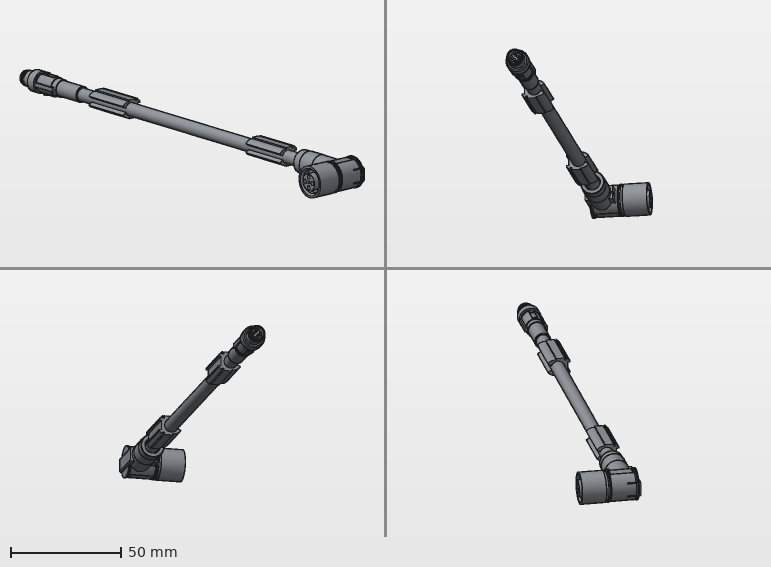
import cadquery as cq
import math


total_length = 224.95
total_depth = 28.0
socket_diameter = 14.77
OVERLAP = 0.5

cable_radius = 3.1

tip_length = 1.4
tip_radius = 3.3
tip_ring_length = 0.7
tip_ring_radius = 3.75
tip_groove_length = 0.6
thread_end = 6.5
thread_radius = 3.8
plug_nut_end = 11.3
plug_nut_radius = 5.15
plug_nut_chamfer = 0.6
plug_neck_end = 12.3
plug_neck_radius = 4.3
plug_body_end = 22.2
plug_body_radius = 4.45
plug_collar_end = 25.3
plug_collar_radius = 4.1
plug_grip_end = 39.0
plug_grip_radius = 3.75
plug_grip_chamfer = 0.4
plug_bore_radius = 2.7
plug_bore_depth = 4.0
pin_radius = 0.5
pin_circle_radius = 1.5
pin_count = 4
pin_recess = 0.4
rib_length = 11.8
rib_height = 5.15
rib_width = 2.0
pad_length = 8.8
pad_height = 4.65
pad_width = 2.4
bump_start = 13.6
bump_length = 2.0

sleeve_length = 23.2
sleeve_starts = (48.5, 155.3)
sleeve_half_height = 4.4
sleeve_front = 4.6
jaw_shoulder = 3.75
jaw_bulge = (-3.0, 3.4)
rail_front = 3.0
rail_back = 5.6
rail_groove_width = 0.8
rail_groove_depth = 1.0
rail_chamfer = 1.5
step_position = -0.7
mouth_outer = 2.1
mouth_inner = 0.7
label_slot_width = 4.4
label_slot_depth = 1.0

barrel_start = 188.6
barrel_nut_end = 192.8
barrel_nut_radius = 5.5
barrel_nut_chamfer = 0.3
barrel_radius = 5.55
barrel_collar_end = 201.0
barrel_collar_radius = 5.65
barrel_tail_bore = 3.6
barrel_tail_depth = 1.5
key_start = 204.2
key_height = 6.4
key_width = 6.2
key_slot_width = 0.7

socket_radius = socket_diameter / 2
lid_overhang = 0.45
head_x = total_length - lid_overhang - socket_radius
head_radius = 7.15
groove_radius = 6.7
lid_top = 6.4
lid_strip_width = 6.8
lid_strip_chamfer = 0.6
disk_top = 5.4
disk_bottom = 4.8
head_top = 4.1
head_bottom = -7.3
flange_top = -7.9
flange_bottom = -8.6
nut_top = -9.7
insert_end = lid_top - total_depth
insert_projection = 0.7
nut_bottom = insert_end + insert_projection
insert_radius = 4.0
window_width = 5.0
window_top = 3.5
window_bottom = -7.0
window_floor = 6.55

mouth_radius = 6.4
bore_radius = 5.5
bore_cone_depth = 1.0
bore_depth = 3.0
contact_radius = 0.95
contact_circle_radius = 2.5
contact_depth = 5.0
contact_count = 4
center_contact_radius = 0.6


def rod(start, end, radius):
    """Cylinder along X, centred on the cable axis."""
    return cq.Workplane("YZ").workplane(offset=start).circle(radius).extrude(end - start)


def post(bottom, top, radius):
    """Cylinder along Y, centred on the socket axis."""
    plane = cq.Plane(origin=(head_x, bottom, 0), xDir=(1, 0, 0), normal=(0, 1, 0))
    return cq.Workplane(plane).circle(radius).extrude(top - bottom)


def block(x_range, y_range, z_range):
    """Box given by its limits on each axis."""
    limits = (x_range, y_range, z_range)
    sizes = [high - low for low, high in limits]
    corner = tuple(low for low, high in limits)
    return cq.Workplane("XY").box(*sizes, centered=False).translate(corner)


def polar_points(count, radius):
    """Points evenly spaced on a circle, starting on its first axis."""
    angles = [2 * math.pi * index / count for index in range(count)]
    return [(radius * math.cos(angle), radius * math.sin(angle)) for angle in angles]


def make_plug():
    """Straight plug with threaded nose, nut, ribbed body and grip."""
    ring_end = tip_length + tip_ring_length
    groove_end = ring_end + tip_groove_length
    nut = rod(thread_end, plug_nut_end, plug_nut_radius).faces("<X").chamfer(plug_nut_chamfer)
    grip = rod(plug_collar_end, plug_grip_end, plug_grip_radius).faces(">X").chamfer(plug_grip_chamfer)
    plug = rod(0, groove_end, tip_radius)
    plug = plug.union(rod(tip_length, ring_end, tip_ring_radius))
    plug = plug.union(rod(groove_end, thread_end, thread_radius))
    plug = plug.union(nut)
    plug = plug.union(rod(plug_nut_end, plug_neck_end, plug_neck_radius))
    plug = plug.union(rod(plug_neck_end, plug_body_end, plug_body_radius))
    plug = plug.union(rod(plug_body_end, plug_collar_end, plug_collar_radius))
    plug = plug.union(grip)

    rib_span = (plug_neck_end, plug_neck_end + rib_length)
    pad_span = (plug_neck_end, plug_neck_end + pad_length)
    bump_span = (bump_start, bump_start + bump_length)
    rib_side = (-rib_width / 2, rib_width / 2)
    pad_side = (-pad_width / 2, pad_width / 2)
    plug = plug.union(block(rib_span, (-rib_height, rib_height), rib_side))
    plug = plug.union(block(pad_span, pad_side, (-pad_height, pad_height)))
    plug = plug.union(block(bump_span, pad_side, (-rib_height, rib_height)))

    plug = plug.cut(rod(0, plug_bore_depth, plug_bore_radius))
    pins = (
        cq.Workplane("YZ")
        .workplane(offset=pin_recess)
        .pushPoints(polar_points(pin_count, pin_circle_radius))
        .circle(pin_radius)
        .extrude(plug_bore_depth + OVERLAP - pin_recess)
    )
    return plug.union(pins)


def make_sleeve(start):
    """Marker sleeve that clips around the cable, with label rails on its +Y back."""
    span = (start, start + sleeve_length)
    bulge_y, bulge_z = jaw_bulge
    clip = (
        cq.Workplane("YZ")
        .workplane(offset=start)
        .moveTo(rail_front, sleeve_half_height)
        .lineTo(step_position, sleeve_half_height)
        .lineTo(step_position, jaw_shoulder)
        .threePointArc((bulge_y, bulge_z), (-sleeve_front, mouth_outer))
        .lineTo(-sleeve_front, -mouth_outer)
        .threePointArc((bulge_y, -bulge_z), (step_position, -jaw_shoulder))
        .lineTo(step_position, -sleeve_half_height)
        .lineTo(rail_front, -sleeve_half_height)
        .close()
        .extrude(sleeve_length)
    )
    rail = block(span, (rail_front, rail_back), (-sleeve_half_height, sleeve_half_height))
    rail = rail.edges("|X and >Y").chamfer(rail_chamfer)
    sleeve = clip.union(rail)

    mouth = (
        cq.Workplane("YZ")
        .workplane(offset=start)
        .moveTo(-sleeve_front, mouth_outer)
        .lineTo(-cable_radius + OVERLAP, mouth_inner)
        .lineTo(-cable_radius + OVERLAP, -mouth_inner)
        .lineTo(-sleeve_front, -mouth_outer)
        .close()
        .extrude(sleeve_length)
    )
    sleeve = sleeve.cut(mouth)

    label_side = (-label_slot_width / 2, label_slot_width / 2)
    sleeve = sleeve.cut(block(span, (rail_back - label_slot_depth, rail_back), label_side))

    groove_middle = (rail_front + rail_back) / 2 - rail_chamfer / 2
    groove_span = (groove_middle - rail_groove_width / 2, groove_middle + rail_groove_width / 2)
    groove_floor = sleeve_half_height - rail_groove_depth
    for side in (-1, 1):
        z_range = sorted((side * groove_floor, side * sleeve_half_height))
        sleeve = sleeve.cut(block(span, groove_span, z_range))
    return sleeve


def make_barrel():
    """Cable side of the angled socket, with its clamping nut and key."""
    nut = rod(barrel_start, barrel_nut_end, barrel_nut_radius).faces("<X").chamfer(barrel_nut_chamfer)
    nut = nut.cut(rod(barrel_start, barrel_start + barrel_tail_depth, barrel_tail_bore))
    barrel = nut.union(rod(barrel_nut_end, head_x, barrel_radius))
    barrel = barrel.union(rod(barrel_nut_end, barrel_collar_end, barrel_collar_radius))

    key_span = (key_start, head_x)
    key = block(key_span, (-key_height, 0), (-key_width / 2, key_width / 2))
    slot_side = (-key_slot_width / 2, key_slot_width / 2)
    slot = block(key_span, (-key_height, -barrel_radius), slot_side)
    return barrel.union(key.cut(slot))


def make_head():
    """Upright part of the angled socket with its lid and coupling nut."""
    head = post(nut_bottom, disk_top, groove_radius)
    head = head.union(post(disk_bottom, disk_top, socket_radius))
    head = head.union(post(head_bottom, head_top, head_radius))
    head = head.union(post(flange_bottom, flange_top, socket_radius))
    head = head.union(post(nut_bottom, nut_top, socket_radius))

    lid_side = (-lid_strip_width / 2, lid_strip_width / 2)
    strip_end = head_x + math.sqrt(socket_radius**2 - (lid_strip_width / 2) ** 2)
    strip = block((key_start, strip_end), (0, lid_top), lid_side)
    strip = strip.edges("|X and >Y").chamfer(lid_strip_chamfer)
    lip_side = (-lid_overhang, lid_overhang)
    lip = block((head_x, total_length), (disk_bottom, disk_top), lip_side)
    head = head.union(strip).union(lip)

    window_span = (head_x - window_width / 2, head_x + window_width / 2)
    for side in (-1, 1):
        z_range = sorted((side * window_floor, side * socket_radius))
        head = head.cut(block(window_span, (window_bottom, window_top), z_range))
    return head


def cut_socket(body):
    """Open the socket end: coned bore and an insert with contacts."""
    face = cq.Plane(origin=(head_x, nut_bottom, 0), xDir=(1, 0, 0), normal=(0, 1, 0))
    cone = (
        cq.Workplane(face)
        .circle(mouth_radius)
        .workplane(offset=bore_cone_depth)
        .circle(bore_radius)
        .loft(combine=True)
    )
    body = body.cut(cone)
    body = body.cut(post(nut_bottom, nut_bottom + bore_depth, bore_radius))
    body = body.union(post(insert_end, nut_bottom + bore_depth + OVERLAP, insert_radius))

    insert_plane = cq.Plane(origin=(head_x, insert_end, 0), xDir=(1, 0, 0), normal=(0, 1, 0))
    insert_face = cq.Workplane(insert_plane)
    contacts = (
        insert_face.pushPoints(polar_points(contact_count, contact_circle_radius))
        .circle(contact_radius)
        .extrude(contact_depth)
    )
    center_contact = insert_face.circle(center_contact_radius).extrude(contact_depth)
    return body.cut(contacts).cut(center_contact)


def make_part():
    """Join the plug, cable, sleeves and angled socket into one solid."""
    cable_start = plug_grip_end - OVERLAP
    cable_end = barrel_start + barrel_tail_depth + OVERLAP
    part = make_plug().union(rod(cable_start, cable_end, cable_radius))
    for start in sleeve_starts:
        part = part.union(make_sleeve(start))
    return part.union(cut_socket(make_barrel().union(make_head())))


result = make_part()